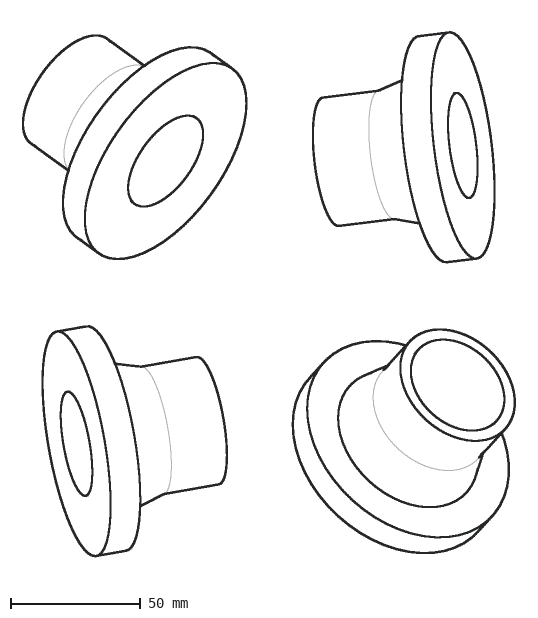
import cadquery as cq

total_length = 53.0
flange_thickness = 12.0
pipe_length = 22.5
flange_diameter = 88.0
hub_diameter = 61.0
pipe_diameter = 50.0
bore_diameter = 40.8

flange_start = total_length - flange_thickness
bore_radius = bore_diameter / 2
pipe_radius = pipe_diameter / 2
hub_radius = hub_diameter / 2
flange_radius = flange_diameter / 2

half_section = (
    cq.Workplane("XY")
    .moveTo(0, bore_radius)
    .lineTo(0, pipe_radius)
    .lineTo(pipe_length, pipe_radius)
    .lineTo(flange_start, hub_radius)
    .lineTo(flange_start, flange_radius)
    .lineTo(total_length, flange_radius)
    .lineTo(total_length, bore_radius)
    .close()
)

result = half_section.revolve(360, (0, 0, 0), (1, 0, 0))